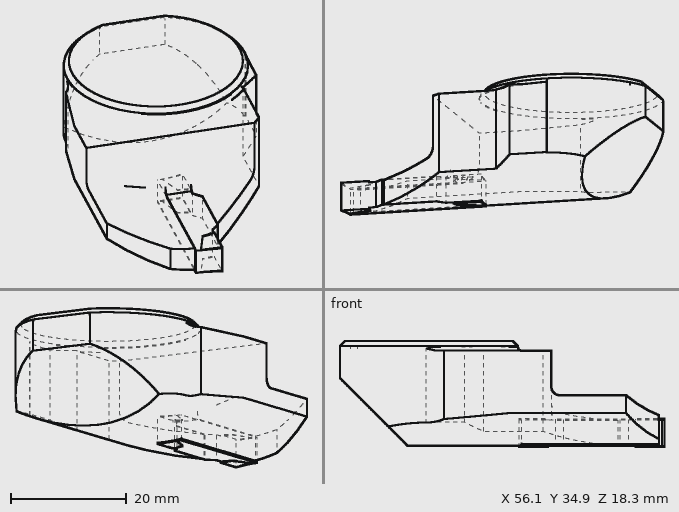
import cadquery as cq
import math


head_radius = 16.0
flat_x = -14.85
head_top = 16.45
disc_top = 18.1
disc_radius = 15.95
disc_chamfer = 0.9
disc_foot_fillet = 0.6

back_pad_y = 16.15
back_pad_end_x = 6.6
pad_run_out = 3.35
back_y = back_pad_y - pad_run_out
diagonal_start_x = 20.2
diagonal_end_x = 34.8
cove_end_x, cove_end_y = 3.1, -17.05
front_y = -18.7
front_start_x = 14.15
front_end_x = 34.55
nose_x = 40.2
nose_corner_y = -8.85

underside_radius = 33.8
heel_z = 11.7
step_x = 21.65
ledge_low_z = 4.4
ledge_radius = 41.9
ledge_fillet = 1.4

insert_x = 28.65
rake_y = 0.15
insert_base_y = -4.45
clamp_rib_y = 1.55
rib_top_half = 4.9
rib_base_half = rib_top_half + clamp_rib_y - rake_y
rake_half_length = 12.55
base_half_length = 12.1
shank_half_height = 2.25
tip_half_height = 2.45
insert_mid_z = tip_half_height - 0.2
shank_bottom = insert_mid_z - shank_half_height
shank_top = insert_mid_z + shank_half_height
tip_inner_x = 7.6
tip_corner_x, tip_corner_y = 7.9, -2.0
tip_outer_x, tip_outer_y = 12.05, -3.55

cut_margin = 2.8
total_length = insert_x + rake_half_length - flat_x


def x_cylinder(radius, axis_z, start_x, length):
    """Cylinder along +X, centred on y = 0."""
    return cq.Workplane("YZ", origin=(start_x, 0, axis_z)).circle(radius).extrude(length)


def make_plan():
    """Holder outline seen along Z, as a prism from the underside to the disc top."""
    flat_half = math.sqrt(head_radius**2 - flat_x**2)
    arc_mid = head_radius / math.sqrt(2)
    return (
        cq.Workplane("XY")
        .moveTo(flat_x, flat_half)
        .threePointArc((-arc_mid, arc_mid), (0, head_radius))
        .lineTo(0, back_pad_y)
        .lineTo(back_pad_end_x, back_pad_y)
        .lineTo(back_pad_end_x + pad_run_out, back_y)
        .lineTo(diagonal_start_x, back_y)
        .lineTo(diagonal_end_x, rake_y)
        .lineTo(nose_x, rake_y)
        .lineTo(nose_x, nose_corner_y)
        .lineTo(front_end_x, front_y)
        .lineTo(front_start_x, front_y)
        .lineTo(cove_end_x, cove_end_y)
        .threePointArc(cove_midpoint(), (0, -head_radius))
        .threePointArc((-arc_mid, -arc_mid), (flat_x, -flat_half))
        .close()
        .extrude(disc_top)
    )


def cove_midpoint():
    """Middle of the hollow arc that leaves the head tangentially at its front."""
    drop = -head_radius - cove_end_y
    radius = (cove_end_x**2 + drop**2) / (2 * drop)
    half_angle = math.asin(cove_end_x / radius) / 2
    return radius * math.sin(half_angle), -head_radius - radius * (1 - math.cos(half_angle))


def make_height_profile():
    """Full block up to the head top, with the chamfered disc and its foot fillet above it."""
    block = (
        cq.Workplane("XY")
        .box(4 * total_length, 4 * total_length, head_top, centered=(True, True, False))
    )
    disc = (
        cq.Workplane("XZ")
        .moveTo(0, head_top)
        .lineTo(disc_radius + disc_foot_fillet, head_top)
        .radiusArc((disc_radius, head_top + disc_foot_fillet), disc_foot_fillet)
        .lineTo(disc_radius, disc_top - disc_chamfer)
        .lineTo(disc_radius - disc_chamfer, disc_top)
        .lineTo(0, disc_top)
        .close()
        .revolve(360, (0, 0, 0), (0, 1, 0))
    )
    return block.union(disc)


def flat_chamfer_cutter():
    """Carries the disc chamfer along the flat."""
    return (
        cq.Workplane("XZ")
        .polyline([
            (flat_x, disc_top - disc_chamfer),
            (flat_x + disc_chamfer, disc_top),
            (flat_x, disc_top),
        ])
        .close()
        .extrude(head_radius, both=True)
    )


def heel_cutter():
    """45 degree wedge below the flat."""
    return (
        cq.Workplane("XZ")
        .polyline([(flat_x, heel_z), (flat_x + heel_z, 0), (flat_x, 0)])
        .close()
        .extrude(head_radius, both=True)
    )


def ledge_cutter():
    """Hollow cylindrical ledge with a fillet at the foot of the step."""
    cutter = x_cylinder(ledge_radius, ledge_low_z + ledge_radius, step_x, total_length)
    return cutter.faces("<X").edges().fillet(ledge_fillet)


def insert_plan(bottom, top):
    """Insert outline with its clamping rib, as a prism between two heights."""
    half = [
        (base_half_length, insert_base_y),
        (rake_half_length, rake_y),
        (rib_base_half, rake_y),
        (rib_top_half, clamp_rib_y),
    ]
    mirrored = [(-x, y) for x, y in reversed(half)]
    return (
        cq.Workplane("XY", origin=(insert_x, 0, bottom))
        .polyline(half + mirrored)
        .close()
        .extrude(top - bottom)
    )


def make_tip(side):
    """Cutting tip, highest at the rake face; side is +1 or -1 along X."""
    outline = [
        (tip_inner_x, rake_y),
        (tip_corner_x, tip_corner_y),
        (tip_outer_x, tip_outer_y),
        (rake_half_length, rake_y),
    ]
    prism = (
        cq.Workplane("XY", origin=(insert_x, 0, insert_mid_z))
        .polyline([(side * x, y) for x, y in outline])
        .close()
        .extrude(tip_half_height, both=True)
    )
    taper = (
        cq.Workplane("YZ", origin=(insert_x, 0, insert_mid_z))
        .polyline([
            (rake_y, tip_half_height),
            (tip_outer_y, shank_half_height),
            (tip_outer_y, -shank_half_height),
            (rake_y, -tip_half_height),
        ])
        .close()
        .extrude(rake_half_length, both=True)
    )
    return prism.intersect(taper)


def make_insert():
    body = insert_plan(shank_bottom, shank_top)
    for side in (1, -1):
        body = body.union(make_tip(side))
    return body


def make_holder(insert):
    body = make_plan().intersect(make_height_profile())
    body = body.intersect(
        x_cylinder(underside_radius, underside_radius, flat_x, total_length)
    )
    body = body.cut(flat_chamfer_cutter()).cut(heel_cutter()).cut(ledge_cutter())

    seat = insert_plan(-cut_margin, shank_top)
    beyond_step = (
        cq.Workplane("XY", origin=(step_x, 0, 0))
        .box(total_length, total_length, disc_top, centered=(False, True, False))
    )
    open_seat = insert_plan(0, disc_top).intersect(beyond_step)
    return body.cut(seat).cut(open_seat).cut(insert)


insert = make_insert()
holder = make_holder(insert)
result = cq.Compound.makeCompound([holder.solids().val(), insert.solids().val()])